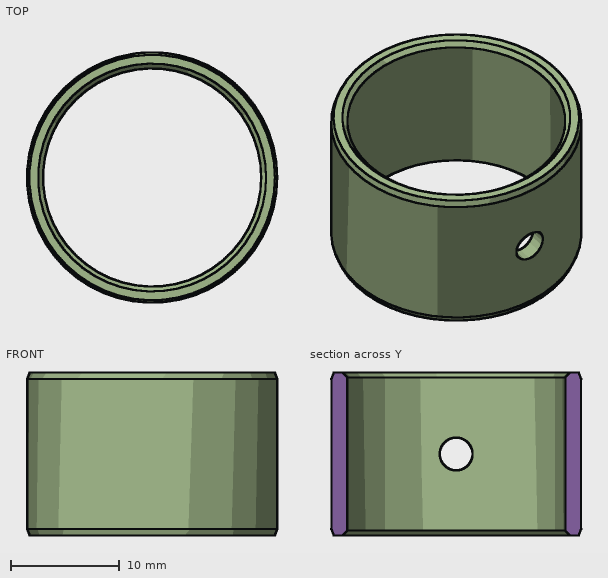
import cadquery as cq

outer_diameter = 23.0
bore_diameter = 20.0
length = 15.0

outer_chamfer_depth = 0.23
outer_chamfer_length = 0.62
bore_chamfer = 0.45

hole_diameter = 3.0

outer_radius = outer_diameter / 2
bore_radius = bore_diameter / 2
half_length = length / 2


def make_sleeve():
    """Revolve the wall section, with all four end edges chamfered."""
    outer_land = half_length - outer_chamfer_length
    bore_land = half_length - bore_chamfer
    outer_end_radius = outer_radius - outer_chamfer_depth
    bore_end_radius = bore_radius + bore_chamfer
    section = [
        (bore_radius, -bore_land),
        (bore_end_radius, -half_length),
        (outer_end_radius, -half_length),
        (outer_radius, -outer_land),
        (outer_radius, outer_land),
        (outer_end_radius, half_length),
        (bore_end_radius, half_length),
        (bore_radius, bore_land),
    ]
    return cq.Workplane("XZ").polyline(section).close().revolve(360, (0, 0), (0, 1))


def make_radial_hole():
    """Cylinder from the axis outward along +Y."""
    return cq.Workplane("XZ").circle(hole_diameter / 2).extrude(-outer_diameter)


result = make_sleeve().cut(make_radial_hole())